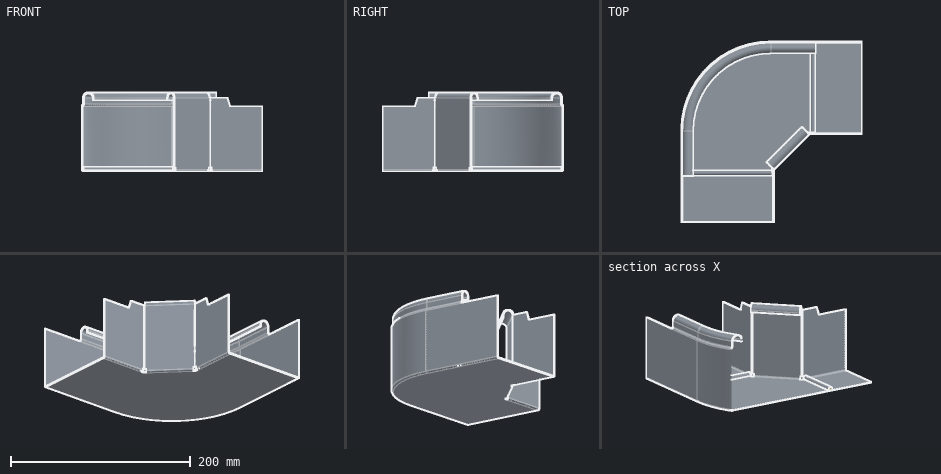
import cadquery as cq
import math

total_size = 201.4
total_height = 88.0
sheet = 1.3
bend_radius = 2.2
corner_radius = 99.7
leg_length = total_size - corner_radius
leg_width = 103.5
plain_height = 72.5

curl_radius = 6.0
curl_lip = 2.8
curl_centre_z = total_height - curl_radius
rim_length = 50.3

joggle_angle = math.radians(60)
joggle_radius = 1.5
joggle_inset = 2 * joggle_radius * (1 - math.cos(joggle_angle))
joggle_rise = 2 * joggle_radius * math.sin(joggle_angle)

inner_face = leg_width - corner_radius
diagonal_start = 43.5
corner_gap = 0.2
tall_end = 62.8
slope_end = 65.8
relief_length = 1.6
relief_height = 4.0

bar_width = 5.6
bar_height = 3.8
bar_side = 1.2
bar_end = 49.7


def mirrored(body):
    """The same feature on the other leg."""
    return cq.Workplane(body.val().mirror((1, 1, 0)))



def wall_plane(start, inward_angle):
    """Plane across a wall whose outer face passes through start; its normal runs along the wall."""
    angle = math.radians(inward_angle)
    inward = (math.cos(angle), math.sin(angle), 0)
    along = (math.sin(angle), -math.cos(angle), 0)
    return cq.Plane(origin=(start[0], start[1], 0), xDir=inward, normal=along)


def arc_between(path, centre, radius, start_angle, end_angle):
    """Add a circular arc to path, which stands at the arc's start; angles in radians."""
    def at(angle):
        return (centre[0] + radius * math.cos(angle), centre[1] + radius * math.sin(angle))
    return path.threePointArc(at((start_angle + end_angle) / 2), at(end_angle))


def with_floor_bend(path):
    """Close a section that has come down its inner face, through the bend to the floor."""
    centre = (bend_radius, bend_radius)
    path = arc_between(path.lineTo(sheet, bend_radius), centre, bend_radius - sheet, math.pi, 1.5 * math.pi)
    path = path.lineTo(bend_radius, 0)
    return arc_between(path, centre, bend_radius, 1.5 * math.pi, math.pi).close()


def with_curl(path, face):
    """Go up the outer face at local X = face, around the rolled rim and back to the inner face."""
    centre = (face + curl_radius, curl_centre_z)
    lip_bottom = curl_centre_z - curl_lip
    path = arc_between(path.lineTo(face, curl_centre_z), centre, curl_radius, math.pi, 0)
    path = path.lineTo(face + 2 * curl_radius, lip_bottom)
    path = path.lineTo(face + 2 * curl_radius - sheet, lip_bottom)
    path = path.lineTo(face + 2 * curl_radius - sheet, curl_centre_z)
    return arc_between(path, centre, curl_radius - sheet, 0, math.pi)


def plain_section(plane, height):
    path = cq.Workplane(plane).moveTo(0, bend_radius).lineTo(0, height).lineTo(sheet, height)
    return with_floor_bend(path)


def curled_section(plane):
    return with_floor_bend(with_curl(cq.Workplane(plane).moveTo(0, bend_radius), 0))


def joggled_section(plane):
    """Outer wall section: floor bend, wall, joggle and rolled rim."""
    inner_arc = joggle_radius - sheet / 2
    outer_arc = joggle_radius + sheet / 2
    top = plain_height + joggle_rise
    lower_centre = (sheet / 2 + joggle_radius, plain_height)
    upper_centre = (sheet / 2 + joggle_inset - joggle_radius, top)
    path = cq.Workplane(plane).moveTo(0, bend_radius).lineTo(0, plain_height)
    path = arc_between(path, lower_centre, outer_arc, math.pi, math.pi - joggle_angle)
    path = arc_between(path, upper_centre, inner_arc, -joggle_angle, 0)
    path = with_curl(path, joggle_inset)
    path = path.lineTo(joggle_inset + sheet, top)
    path = arc_between(path, upper_centre, outer_arc, 0, -joggle_angle)
    path = arc_between(path, lower_centre, inner_arc, math.pi - joggle_angle, math.pi)
    return with_floor_bend(path)


def relief(plane, wall_length, at_far_end):
    """Cutter for the notch that frees the foot of a wall from the floor at one of its ends."""
    block = cq.Workplane(plane).rect(2 * bend_radius, 2 * relief_height).extrude(relief_length)
    if at_far_end:
        block = block.translate(plane.zDir * (wall_length - relief_length))
    return block


def outer_wall_leg():
    """Straight outer wall of the leg along -Y."""
    plane = wall_plane((-corner_radius, 0), 0)
    rimmed = joggled_section(plane).extrude(rim_length)
    plain = plain_section(plane, plain_height).extrude(leg_length)
    return rimmed.union(plain)


def outer_wall_curve():
    section = joggled_section(wall_plane((-corner_radius, 0), 0))
    axis_start = (corner_radius, 0, 0)
    axis_end = (corner_radius, -1, 0)
    return section.revolve(90, axis_start, axis_end)


def inner_wall_leg():
    """Inner wall of the leg along -Y, stepped down by a slope towards the leg end."""
    plane = wall_plane((inner_face, -leg_length), 180)
    length = leg_length - diagonal_start - corner_gap
    wall = plain_section(plane, curl_centre_z).extrude(length)
    step = (
        cq.Workplane("YZ", origin=(inner_face - sheet, 0, 0))
        .moveTo(-tall_end, curl_centre_z)
        .lineTo(-slope_end, plain_height)
        .lineTo(-leg_length, plain_height)
        .lineTo(-leg_length, curl_centre_z)
        .close()
        .extrude(sheet)
    )
    return wall.cut(step).cut(relief(plane, length, True))


def diagonal_wall():
    """Wall with a rolled rim across the inner corner."""
    gap = corner_gap / math.sqrt(2)
    plane = wall_plane((inner_face + gap, gap - diagonal_start), 135)
    length = math.sqrt(2) * (diagonal_start - inner_face) - 2 * corner_gap
    wall = curled_section(plane).extrude(length)
    return wall.cut(relief(plane, length, False)).cut(relief(plane, length, True))


def floor_plate():
    """Flat floor between the bends of all the walls."""
    outer = corner_radius - bend_radius
    inner = inner_face - bend_radius
    corner = diagonal_start - bend_radius * (math.sqrt(2) - 1)
    arc_middle = outer / math.sqrt(2)
    return (
        cq.Workplane("XY")
        .moveTo(-outer, 0)
        .lineTo(-outer, -leg_length)
        .lineTo(inner, -leg_length)
        .lineTo(inner, -corner)
        .lineTo(corner, -inner)
        .lineTo(leg_length, -inner)
        .lineTo(leg_length, outer)
        .lineTo(0, outer)
        .threePointArc((-arc_middle, arc_middle), (-outer, 0))
        .close()
        .extrude(sheet)
    )


def gutter_corner():
    body = floor_plate().union(outer_wall_curve()).union(diagonal_wall())
    for leg_wall in (outer_wall_leg(), inner_wall_leg()):
        body = body.union(leg_wall).union(mirrored(leg_wall))
    return body


def floor_bar():
    """Bar across the leg along -Y, between the floor bends."""
    half = bar_width / 2
    shoulder = sheet + bar_side
    middle_y = half - bar_end
    return (
        cq.Workplane("YZ", origin=(bend_radius - corner_radius, middle_y, 0))
        .moveTo(-half, sheet)
        .lineTo(-half, shoulder)
        .threePointArc((0, sheet + bar_height), (half, shoulder))
        .lineTo(half, sheet)
        .close()
        .extrude(leg_width - 2 * bend_radius)
    )


gutter = gutter_corner()

bars = []
for on_other_leg in (False, True):
    bar = floor_bar()
    if on_other_leg:
        bar = mirrored(bar)
    bars.append(bar.val())

result = cq.Compound.makeCompound([gutter.val(), *bars])